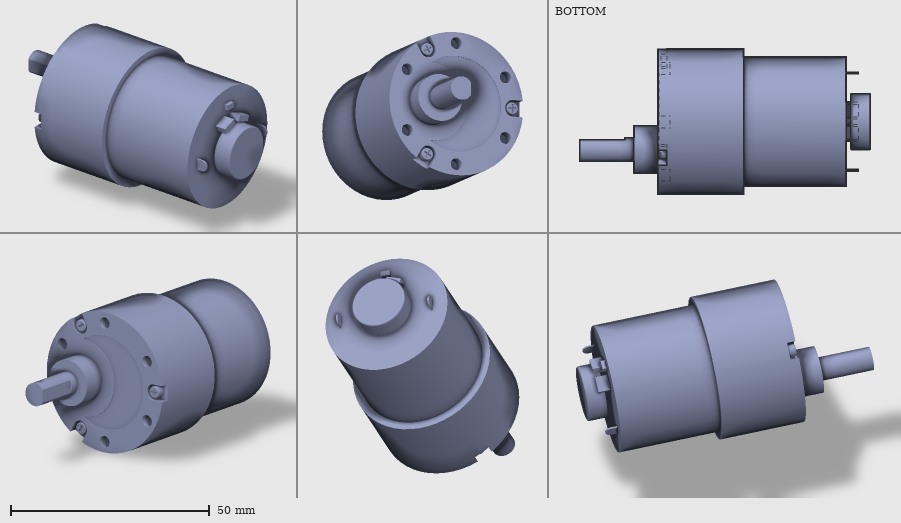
import cadquery as cq
import math

gearbox_diameter = 36.6
gearbox_radius = gearbox_diameter / 2
gearbox_length = 21.6
motor_radius = 16.3
motor_length = 25.7
motor_rear = gearbox_length + motor_length

shaft_offset = 7.0
shaft_radius = 3.0
shaft_length = 13.7
flat_length = 11.4
flat_distance = 2.5
boss_radius = 6.0
boss_length = 6.0

crescent_inner_radius = 10.0
crescent_outer_radius = math.hypot(shaft_offset, crescent_inner_radius)
crescent_depth = 0.2
bolt_circle_radius = 15.5
hole_diameter = 3.0
hole_depth = 3.0
hole_count = 6
first_hole_angle = 30

screw_angles = [60, 180, 300]
notch_radius = 2.1
notch_depth = 2.2
notch_overrun = 0.7
screw_radius = 1.5
screw_recess = 0.15
screw_edge_fillet = 0.3
cross_length = 2.2
cross_width = 0.45
cross_depth = 0.6

disc_radius = 7.0
disc_gap = 1.2
disc_thickness = 5.0
disc_edge_fillet = 0.4
rear_shaft_radius = 1.0
holder_angle = 20
holder_width = 3.95
holder_height = 1.5
holder_outer_radius = 9.0
holder_length = 3.1
key_width = 2.4
key_height = 1.45
key_length = 1.1
key_center_height = 11.6
terminal_offset = 12.2
terminal_thickness = 0.45
terminal_width = 3.0
terminal_length = 3.1


def cylinder_x(radius, x_start, length, y=0):
    """Cylinder along +X, with its axis at the given Y."""
    return cq.Workplane("YZ", origin=(x_start, y, 0)).circle(radius).extrude(length)


def block(x_start, length, width, height, y=0, z=0):
    """Box that starts at x_start and is centred on (y, z)."""
    return cq.Workplane("YZ", origin=(x_start, y, z)).rect(width, height).extrude(length)


def turn(solid, angle):
    """Rotate about the motor axis; zero is +Y and 90 is +Z."""
    return solid.rotate((0, 0, 0), (1, 0, 0), angle)


def output_shaft():
    front = -boss_length - shaft_length
    shaft = cylinder_x(shaft_radius, front, shaft_length, shaft_offset)
    flat_cut = block(
        front, flat_length, shaft_radius, 2 * shaft_radius,
        y=shaft_offset - flat_distance - shaft_radius / 2,
    )
    boss = cylinder_x(boss_radius, -boss_length, boss_length, shaft_offset)
    return shaft.cut(flat_cut).union(boss)


def crescent_recess():
    """Shallow recess between a motor-centred circle and a shaft-centred one."""
    outer = cylinder_x(crescent_outer_radius, 0, crescent_depth)
    inner = cylinder_x(crescent_inner_radius, 0, crescent_depth, shaft_offset)
    far_side = block(
        0, crescent_depth, 2 * crescent_outer_radius, 2 * crescent_outer_radius,
        y=shaft_offset + crescent_outer_radius,
    )
    return outer.cut(inner).cut(far_side)


def screw_notch():
    rim_length = gearbox_radius - bolt_circle_radius + notch_overrun
    slot = block(0, notch_depth, rim_length, 2 * notch_radius, y=bolt_circle_radius + rim_length / 2)
    return slot.union(cylinder_x(notch_radius, 0, notch_depth, bolt_circle_radius))


def screw_head():
    head = cylinder_x(screw_radius, screw_recess, notch_depth - screw_recess, bolt_circle_radius)
    head = head.faces("<X").edges().fillet(screw_edge_fillet)
    for width, height in [(cross_length, cross_width), (cross_width, cross_length)]:
        head = head.cut(block(screw_recess, cross_depth, width, height, y=bolt_circle_radius))
    return head


def magnet_disc():
    disc = cylinder_x(disc_radius, motor_rear + disc_gap, disc_thickness)
    disc = disc.faces("<X or >X").edges().fillet(disc_edge_fillet)
    return disc.union(cylinder_x(rear_shaft_radius, motor_rear, disc_gap))


def brush_holder(angle_from_top):
    holder = block(
        motor_rear, holder_length, holder_width, holder_height,
        z=holder_outer_radius - holder_height / 2,
    )
    return turn(holder, angle_from_top)


def terminal(y):
    """Thin upright tab with a round end."""
    end_radius = terminal_width / 2
    straight = terminal_length - end_radius
    return (
        cq.Workplane("XZ", origin=(motor_rear, y + terminal_thickness / 2, 0))
        .moveTo(0, -end_radius)
        .lineTo(straight, -end_radius)
        .threePointArc((terminal_length, 0), (straight, end_radius))
        .lineTo(0, end_radius)
        .close()
        .extrude(terminal_thickness)
    )


gearbox = cylinder_x(gearbox_radius, 0, gearbox_length).cut(crescent_recess())
for index in range(hole_count):
    angle = first_hole_angle + index * 360 / hole_count
    hole = cylinder_x(hole_diameter / 2, 0, hole_depth, bolt_circle_radius)
    gearbox = gearbox.cut(turn(hole, angle))
for angle in screw_angles:
    gearbox = gearbox.cut(turn(screw_notch(), angle))
    gearbox = gearbox.union(turn(screw_head(), angle))

motor = cylinder_x(motor_radius, gearbox_length, motor_length)
motor = motor.union(magnet_disc())
motor = motor.union(block(motor_rear, key_length, key_width, key_height, z=key_center_height))
for side in (-1, 1):
    motor = motor.union(brush_holder(side * holder_angle))
    motor = motor.union(terminal(side * terminal_offset))

result = gearbox.union(motor).union(output_shaft())